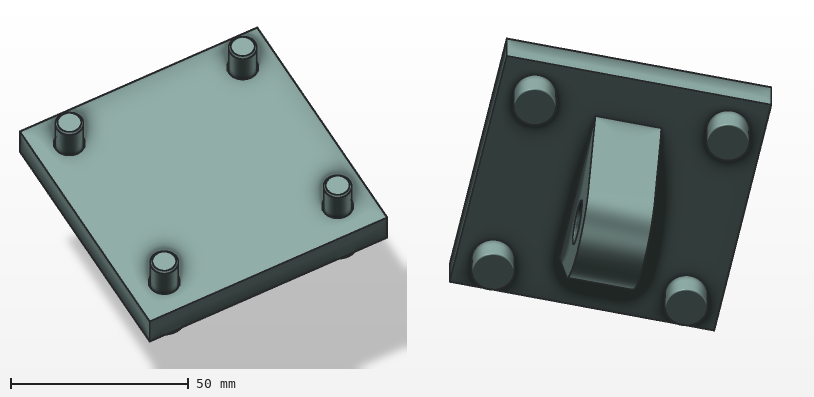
import cadquery as cq
import math

plate_side = 76.2
plate_thickness = 9.45
screw_spacing = 55.6
clearance_diameter = 8.8

lug_width = 19.05
lug_bottom_depth = 44.3
lug_radius = 15.85
lug_root_length = 48.0
lug_flank_end_depth = 32.8
lug_hole_diameter = 12.65

shank_diameter = 7.9
shank_protrusion = 9.7
shank_chamfer = 0.6
head_diameter = 12.0
head_height = 7.7
head_edge_fillet = 0.4

plate_bottom = -plate_thickness
lug_axis_z = lug_radius - lug_bottom_depth


def make_lug():
    """Lug whose straight flanks taper from the plate down to the rounded end."""
    half_root = lug_root_length / 2
    flank_end_z = -lug_flank_end_depth
    flank_end_y = math.sqrt(lug_radius**2 - (flank_end_z - lug_axis_z) ** 2)
    return (
        cq.Workplane("YZ", origin=(-lug_width / 2, 0, 0))
        .moveTo(-half_root, plate_bottom)
        .lineTo(-flank_end_y, flank_end_z)
        .threePointArc((0, -lug_bottom_depth), (flank_end_y, flank_end_z))
        .lineTo(half_root, plate_bottom)
        .close()
        .moveTo(0, lug_axis_z)
        .circle(lug_hole_diameter / 2)
        .extrude(lug_width)
    )


def make_bracket():
    """Square plate with four clearance holes and the lug below."""
    plate = (
        cq.Workplane("XY", origin=(0, 0, plate_bottom))
        .rect(plate_side, plate_side)
        .extrude(plate_thickness)
    )
    holes = (
        cq.Workplane("XY", origin=(0, 0, plate_bottom))
        .rect(screw_spacing, screw_spacing, forConstruction=True)
        .vertices()
        .circle(clearance_diameter / 2)
        .extrude(plate_thickness)
    )
    return plate.cut(holes).union(make_lug())


def make_screw(x, y):
    """Cap screw with its head seated against the underside of the plate."""
    head = (
        cq.Workplane("XY", origin=(x, y, plate_bottom - head_height))
        .circle(head_diameter / 2)
        .extrude(head_height)
        .faces("<Z")
        .edges()
        .fillet(head_edge_fillet)
    )
    shank = (
        cq.Workplane("XY", origin=(x, y, plate_bottom))
        .circle(shank_diameter / 2)
        .extrude(plate_thickness + shank_protrusion)
        .faces(">Z")
        .edges()
        .chamfer(shank_chamfer)
    )
    return head.union(shank)


bracket = make_bracket()
screws = []
for x_side in (-1, 1):
    for y_side in (-1, 1):
        screw = make_screw(x_side * screw_spacing / 2, y_side * screw_spacing / 2)
        screws.append(screw.val())

result = cq.Compound.makeCompound([bracket.val(), *screws])